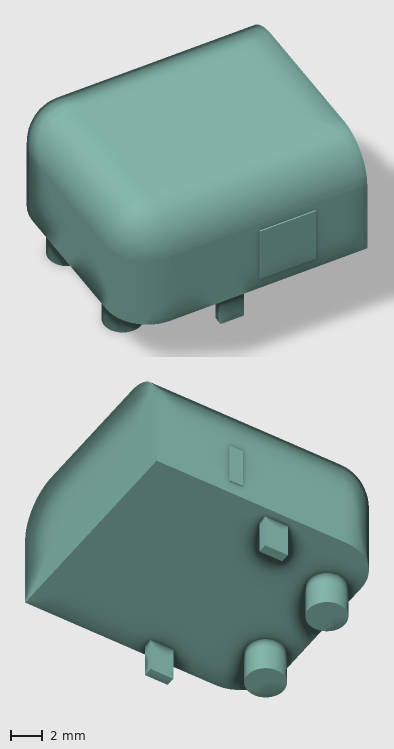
import cadquery as cq

width = 15.5
length = 17.2
height = 8.4
corner_radius = 3.0

leg_length = 2.51
pin_diameter = 2.7
pin_spacing = 7.22
pin_front_offset = 1.85
blade_thickness = 0.67
blade_depth = 1.7
blade_spacing = 13.5
blade_front_offset = 7.83

pad_thickness = 0.1
left_pad_size = (1.0, 3.0)
left_pad_centre = (11.3, 2.45)
right_pad_size = (4.0, 4.0)
right_pad_centre = (11.44, 2.84)


def make_housing():
    """Block rounded along the front vertical edges and the front and side top edges."""
    block = cq.Workplane("XY").box(width, length, height, centered=(True, False, False))
    rounded_edges = block.edges("(|Z and <Y) or (>Z and (not >Y))")
    return rounded_edges.fillet(corner_radius)


def make_pin(x):
    return (
        cq.Workplane("XY")
        .center(x, pin_front_offset)
        .circle(pin_diameter / 2)
        .extrude(-leg_length)
    )


def make_blade(x):
    return (
        cq.Workplane("XY")
        .center(x, blade_front_offset)
        .rect(blade_thickness, blade_depth)
        .extrude(-leg_length)
    )


def make_side_pad(side, size, centre):
    """Pad standing out from a side wall; side is -1 for -X and 1 for +X."""
    return (
        cq.Workplane("YZ", origin=(side * width / 2, 0, 0))
        .center(*centre)
        .rect(*size)
        .extrude(side * pad_thickness)
    )


result = make_housing()
for side in (-1, 1):
    result = result.union(make_pin(side * pin_spacing / 2))
    result = result.union(make_blade(side * blade_spacing / 2))
result = result.union(make_side_pad(-1, left_pad_size, left_pad_centre))
result = result.union(make_side_pad(1, right_pad_size, right_pad_centre))